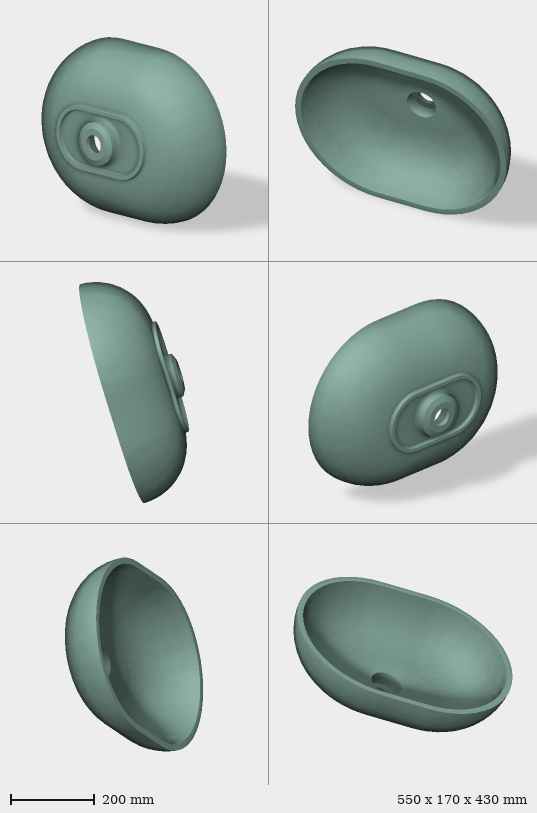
import cadquery as cq
import math

HALF_STRAIGHT = 60.0
RIM_RADIUS = 215.0
BOWL_DEPTH = 140.0
WALL = 15.0

FOOT_HEIGHT = 10.0
FOOT_OUTER_RADIUS = 80.5
FOOT_INNER_RADIUS = 70.0
FOOT_ROOT_FILLET = 3.0
FOOT_TIP_FILLET = 2.0
FOOT_FLOOR_FILLET = 4.0

OVERALL_DEPTH = 170.0
BOSS_RADIUS = 53.0
BOSS_ROOT_FILLET = 12.0
BOSS_TIP_RADIUS = 39.0
BOSS_TAPER_HEIGHT = 7.5
DRAIN_HOLE_RADIUS = 23.0
DRAIN_LIP = 10.0

SIDE_CENTRE = RIM_RADIUS - BOWL_DEPTH
FOOT_DEPTH = BOWL_DEPTH + FOOT_HEIGHT
SUMP_RADIUS = BOSS_RADIUS - WALL
SUMP_DEPTH = OVERALL_DEPTH - DRAIN_LIP
DIAGONAL = math.sqrt(0.5)


def side_point(radius, angle):
    """Point on a rounded bowl side, at an angle from the rim plane."""
    return (SIDE_CENTRE + radius * math.cos(angle), -radius * math.sin(angle))


def oval_solid(profile):
    """Sweep a (radius, Y) half profile round the stadium: two turned ends and a straight middle."""
    outline = profile.val()
    straight = cq.Workplane("XY").add(outline).toPending().extrude(HALF_STRAIGHT, both=True)
    straight = straight.rotate((0, 0, 0), (0, 1, 0), 90)
    turned = cq.Workplane("XY").add(outline).toPending().revolve(360, (0, 0, 0), (0, 1, 0))
    oval = straight.union(straight.mirror("XY"))
    for side in (-1, 1):
        oval = oval.union(turned.translate((side * HALF_STRAIGHT, 0, 0)))
    return oval


def bowl_outside():
    """Rounded bowl with the foot block filleted into it and the tip of the foot rounded."""
    fillet_x = FOOT_OUTER_RADIUS + FOOT_ROOT_FILLET
    fillet_distance = BOWL_DEPTH + FOOT_ROOT_FILLET
    meet_angle = math.acos((fillet_x - SIDE_CENTRE) / fillet_distance)
    fillet_y = -fillet_distance * math.sin(meet_angle)
    middle_angle = meet_angle / 2
    fillet_middle = (
        fillet_x - FOOT_ROOT_FILLET * math.cos(middle_angle),
        fillet_y + FOOT_ROOT_FILLET * math.sin(middle_angle),
    )
    tip_start = FOOT_DEPTH - FOOT_TIP_FILLET
    tip_middle = (
        FOOT_OUTER_RADIUS - FOOT_TIP_FILLET * (1 - DIAGONAL),
        -(tip_start + FOOT_TIP_FILLET * DIAGONAL),
    )
    profile = (
        cq.Workplane("XY")
        .lineTo(RIM_RADIUS, 0)
        .threePointArc(side_point(BOWL_DEPTH, meet_angle / 2), side_point(BOWL_DEPTH, meet_angle))
        .threePointArc(fillet_middle, (FOOT_OUTER_RADIUS, fillet_y))
        .lineTo(FOOT_OUTER_RADIUS, -tip_start)
        .threePointArc(tip_middle, (FOOT_OUTER_RADIUS - FOOT_TIP_FILLET, -FOOT_DEPTH))
        .lineTo(0, -FOOT_DEPTH)
        .close()
    )
    return oval_solid(profile)


def foot_recess():
    """Recess inside the foot ring, rounded where it meets the underside."""
    floor_edge = FOOT_INNER_RADIUS - FOOT_FLOOR_FILLET
    fillet_y = -(BOWL_DEPTH + FOOT_FLOOR_FILLET)
    fillet_middle = (
        floor_edge + FOOT_FLOOR_FILLET * DIAGONAL,
        fillet_y + FOOT_FLOOR_FILLET * DIAGONAL,
    )
    profile = (
        cq.Workplane("XY")
        .moveTo(0, -FOOT_DEPTH)
        .lineTo(FOOT_INNER_RADIUS, -FOOT_DEPTH)
        .lineTo(FOOT_INNER_RADIUS, fillet_y)
        .threePointArc(fillet_middle, (floor_edge, -BOWL_DEPTH))
        .lineTo(0, -BOWL_DEPTH)
        .close()
    )
    return oval_solid(profile)


def bowl_inside():
    """Hollow of the bowl, one wall thickness inside the rounded outside."""
    inner_radius = BOWL_DEPTH - WALL
    profile = (
        cq.Workplane("XY")
        .lineTo(*side_point(inner_radius, 0))
        .threePointArc(side_point(inner_radius, math.pi / 4), side_point(inner_radius, math.pi / 2))
        .lineTo(0, -inner_radius)
        .close()
    )
    return oval_solid(profile)


def drain_boss():
    """Round boss with a flared root and a tapered tip, standing on the underside of the bowl."""
    root_radius = BOSS_RADIUS + BOSS_ROOT_FILLET
    root_end = BOWL_DEPTH + BOSS_ROOT_FILLET
    flare_middle = (
        root_radius - BOSS_ROOT_FILLET * DIAGONAL,
        -root_end + BOSS_ROOT_FILLET * DIAGONAL,
    )
    return (
        cq.Workplane("XY")
        .moveTo(0, -BOWL_DEPTH)
        .lineTo(root_radius, -BOWL_DEPTH)
        .threePointArc(flare_middle, (BOSS_RADIUS, -root_end))
        .lineTo(BOSS_RADIUS, -(OVERALL_DEPTH - BOSS_TAPER_HEIGHT))
        .lineTo(BOSS_TIP_RADIUS, -OVERALL_DEPTH)
        .lineTo(0, -OVERALL_DEPTH)
        .close()
        .revolve(360, (0, 0, 0), (0, 1, 0))
    )


def drain_bore(radius, depth):
    """Cylinder about the drain axis, from the rim plane down to a depth."""
    return cq.Workplane("XZ").circle(radius).extrude(depth)


body = bowl_outside().cut(foot_recess()).union(drain_boss())
body = body.cut(bowl_inside())
body = body.cut(drain_bore(SUMP_RADIUS, SUMP_DEPTH))
result = body.cut(drain_bore(DRAIN_HOLE_RADIUS, OVERALL_DEPTH))